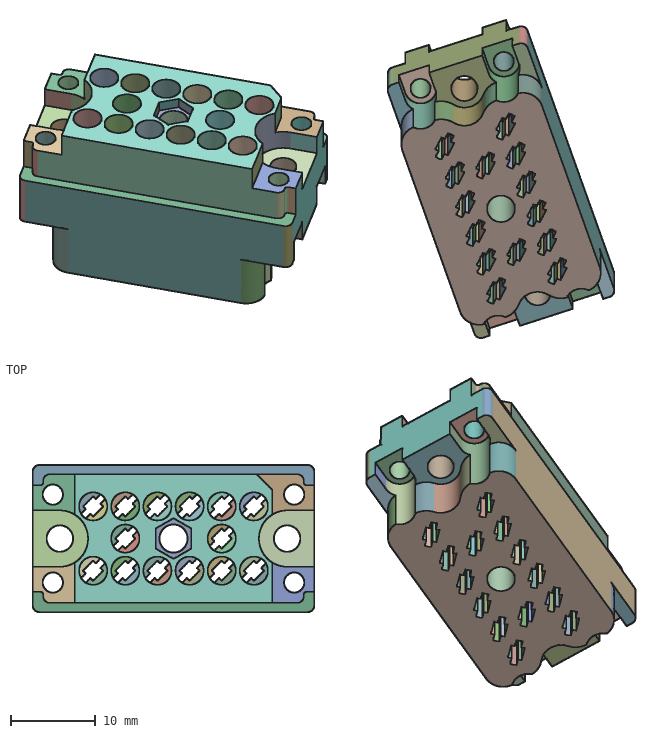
import cadquery as cq
import math

LENGTH = 33.32
WIDTH = 17.43

Z_FLANGE = 6.8
Z_CORNER_SLOT = 9.55
Z_BODY_TOP = 13.23
Z_POCKET_FLOOR = 14.73
Z_SHOULDER = 17.25
Z_TOP = 20.25

PLUG_HALF_LENGTH = 12.95
PLUG_CORNER_R = 2.35
PLUG_LOBE_R = 2.65
SCALLOP_R = 2.35

FLANGE_CORNER_R = 0.83

SHOULDER_HALF_LENGTH = 15.4
SHOULDER_WIDTH = 15.2
SHOULDER_CORNER_R = 0.75
EAR_WIDTH = 12.6
EAR_ROOT_R = 0.33

BLOCK_LENGTH = 23.32
KEY_CHAMFER = 1.83

SCREW_X = 13.43
SCREW_HOLE_D = 3.1
SCREW_POCKET_WIDTH = 6.65

CORNER_HOLE_X = 14.25
CORNER_HOLE_Y = 5.2
CORNER_HOLE_D = 2.35
CORNER_SLOT_WIDTH = 3.75

PITCH = 3.8
ROW_COUNT = 6
MIDDLE_ROW_X = 1.5 * PITCH
CAVITY_D = 3.33
CAVITY_FLOOR = 6.8
SLOT_ANGLE = 45
SLOT_SIDE = 1.65
SLOT_KEY_WIDTH = 0.75

CENTRE_HOLE_D = 3.3
NUT_FLATS = 4.15
NUT_DEPTH = 1.3


def slab(length, width, bottom, top):
    """Box centred on the Z axis between two heights."""
    return (
        cq.Workplane("XY")
        .workplane(offset=bottom)
        .rect(length, width)
        .extrude(top - bottom)
    )


def drill(points, diameter, bottom, top):
    """Vertical cylinders at the given points between two heights."""
    return (
        cq.Workplane("XY")
        .workplane(offset=bottom)
        .pushPoints(points)
        .circle(diameter / 2)
        .extrude(top - bottom)
    )


def open_slot(x, y, width, bottom, top):
    """U-shaped cutter, round around (x, y) and running out through the nearer end face."""
    run_out = math.copysign(LENGTH / 2, x)
    straight = (
        cq.Workplane("XY")
        .workplane(offset=bottom)
        .center(x + run_out / 2, y)
        .rect(LENGTH / 2, width)
        .extrude(top - bottom)
    )
    return drill([(x, y)], width, bottom, top).union(straight)


def plug():
    """Lower block: round corners, and at each end a scallop around the screw blended by tangent lobes."""
    lobe_x = PLUG_HALF_LENGTH - PLUG_LOBE_R
    lobe_to_scallop = PLUG_LOBE_R + SCALLOP_R
    lobe_y = math.sqrt(lobe_to_scallop**2 - (SCREW_X - lobe_x) ** 2)
    blend_angle = math.atan2(lobe_y, SCREW_X - lobe_x)
    blend_x = lobe_x + PLUG_LOBE_R * math.cos(blend_angle)
    blend_y = lobe_y - PLUG_LOBE_R * math.sin(blend_angle)
    lobe_mid_x = lobe_x + PLUG_LOBE_R * math.cos(blend_angle / 2)
    lobe_mid_y = lobe_y - PLUG_LOBE_R * math.sin(blend_angle / 2)

    corner_x = PLUG_HALF_LENGTH - PLUG_CORNER_R
    corner_y = WIDTH / 2 - PLUG_CORNER_R
    corner_mid_x = corner_x + PLUG_CORNER_R * math.sqrt(0.5)
    corner_mid_y = corner_y + PLUG_CORNER_R * math.sqrt(0.5)

    half = (
        cq.Workplane("XY")
        .moveTo(0, -WIDTH / 2)
        .lineTo(corner_x, -WIDTH / 2)
        .threePointArc((corner_mid_x, -corner_mid_y), (PLUG_HALF_LENGTH, -corner_y))
        .lineTo(PLUG_HALF_LENGTH, -lobe_y)
        .threePointArc((lobe_mid_x, -lobe_mid_y), (blend_x, -blend_y))
        .threePointArc((SCREW_X - SCALLOP_R, 0), (blend_x, blend_y))
        .threePointArc((lobe_mid_x, lobe_mid_y), (PLUG_HALF_LENGTH, lobe_y))
        .lineTo(PLUG_HALF_LENGTH, corner_y)
        .threePointArc((corner_mid_x, corner_mid_y), (corner_x, WIDTH / 2))
        .lineTo(0, WIDTH / 2)
        .close()
        .extrude(Z_FLANGE)
    )
    return half.union(half.mirror("YZ"))


def flange():
    """Widest block, with rounded vertical corners."""
    body = slab(LENGTH, WIDTH, Z_FLANGE, Z_BODY_TOP)
    return body.edges("|Z").fillet(FLANGE_CORNER_R)


def shoulder():
    """Rounded block with ears reaching the end faces."""
    body = slab(2 * SHOULDER_HALF_LENGTH, SHOULDER_WIDTH, Z_BODY_TOP, Z_SHOULDER)
    body = body.edges("|Z").fillet(SHOULDER_CORNER_R)
    body = body.union(slab(LENGTH, EAR_WIDTH, Z_BODY_TOP, Z_SHOULDER))
    for x in (-SHOULDER_HALF_LENGTH, SHOULDER_HALF_LENGTH):
        for y in (-EAR_WIDTH / 2, EAR_WIDTH / 2):
            root = cq.selectors.NearestToPointSelector((x, y, (Z_BODY_TOP + Z_SHOULDER) / 2))
            body = body.edges("|Z").edges(root).fillet(EAR_ROOT_R)
    return body


def contact_block():
    """Raised top with one chamfered corner as a key."""
    block = slab(BLOCK_LENGTH, SHOULDER_WIDTH, Z_SHOULDER, Z_TOP)
    return block.edges("|Z and >X and >Y").chamfer(KEY_CHAMFER)


def contact_cavities():
    """Round cavities from the top, each with a square hole and a diagonal keyway through its floor."""
    outer_row = [PITCH * (i - (ROW_COUNT - 1) / 2) for i in range(ROW_COUNT)]
    points = [(x, y) for y in (-PITCH, PITCH) for x in outer_row]
    points += [(-MIDDLE_ROW_X, 0), (MIDDLE_ROW_X, 0)]
    cutters = drill(points, CAVITY_D, CAVITY_FLOOR, Z_TOP)
    bore = drill([(0, 0)], CAVITY_D, 0, CAVITY_FLOOR)
    keyway = slab(CAVITY_D, SLOT_KEY_WIDTH, 0, CAVITY_FLOOR).intersect(bore)
    slot = slab(SLOT_SIDE, SLOT_SIDE, 0, CAVITY_FLOOR).union(keyway)
    slot = slot.rotate((0, 0, 0), (0, 0, 1), SLOT_ANGLE)
    for x, y in points:
        cutters = cutters.union(slot.translate((x, y, 0)))
    return cutters


def centre_hole():
    """Through hole with a hexagonal nut recess at the top."""
    nut_recess = (
        cq.Workplane("XY")
        .workplane(offset=Z_TOP - NUT_DEPTH)
        .transformed(rotate=(0, 0, 90))
        .polygon(6, NUT_FLATS / math.cos(math.pi / 6))
        .extrude(NUT_DEPTH)
    )
    return drill([(0, 0)], CENTRE_HOLE_D, 0, Z_TOP).union(nut_recess)


result = plug().union(flange()).union(shoulder()).union(contact_block())

for side in (-1, 1):
    screw_x = side * SCREW_X
    result = result.cut(drill([(screw_x, 0)], SCREW_HOLE_D, Z_FLANGE, Z_TOP))
    result = result.cut(open_slot(screw_x, 0, SCREW_POCKET_WIDTH, Z_POCKET_FLOOR, Z_TOP))
    for corner_y in (-CORNER_HOLE_Y, CORNER_HOLE_Y):
        corner_x = side * CORNER_HOLE_X
        result = result.cut(drill([(corner_x, corner_y)], CORNER_HOLE_D, 0, Z_TOP))
        result = result.cut(open_slot(corner_x, corner_y, CORNER_SLOT_WIDTH, 0, Z_CORNER_SLOT))

result = result.cut(contact_cavities()).cut(centre_hole())